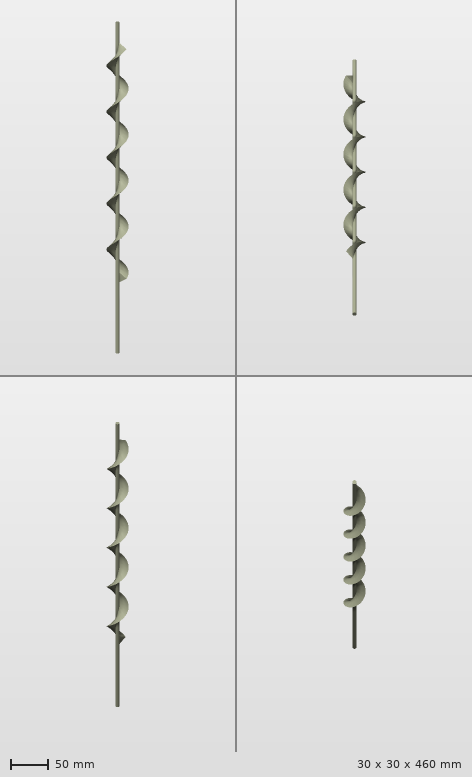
import cadquery as cq

rod_length = 460.0
rod_diameter = 6.0

flight_diameter = 30.0
pitch = 64.0
turns = 5
flight_start = 105.5
root_height = 14.0
root_radius = 2.0

rod_radius = rod_diameter / 2
tip_radius = flight_diameter / 2


def make_rod():
    return cq.Workplane("XY").circle(rod_radius).extrude(rod_length)


def make_flight():
    flank_slope = root_height / 2 / (tip_radius - rod_radius)
    half_root = flank_slope * (tip_radius - root_radius)
    section = cq.Workplane("XZ").polyline(
        [(root_radius, -half_root), (tip_radius, 0), (root_radius, half_root)]
    ).close()
    helix = cq.Wire.makeHelix(pitch, turns * pitch, rod_radius)
    flight = section.sweep(cq.Workplane(helix), isFrenet=True)
    return flight.translate((0, 0, flight_start))


result = make_rod().union(make_flight())